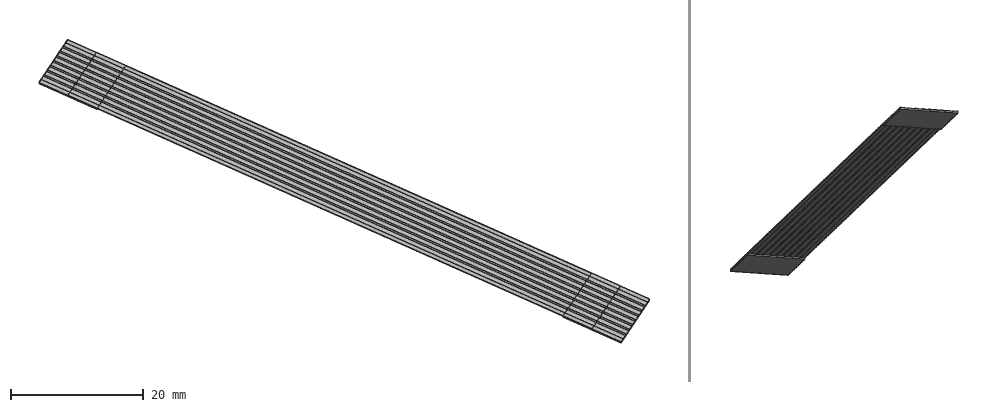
import cadquery as cq

cable_length = 100.0
cable_width = 9.0
total_thickness = 0.36

channel_count = 8
channel_pitch = 1.0
channel_width = 0.7
channel_depth = 0.05

film_thickness = 0.043
exposed_length = 5.0
covered_length = cable_length - 2 * exposed_length

stiffener_length = 10.0
stiffener_thickness = total_thickness - 2 * film_thickness - channel_depth

base_bottom = stiffener_thickness
channel_floor = base_bottom + film_thickness
cover_bottom = channel_floor + channel_depth


def slab(length, width, thickness, center_x, center_y, bottom):
    """Rectangular slab centred on a point in plan, with its underside at a given height."""
    return (
        cq.Workplane("XY", origin=(center_x, center_y, bottom))
        .box(length, width, thickness, centered=(True, True, False))
    )


def base_strip():
    """Full-length strip holding the base film and the layer the channels run in."""
    return slab(cable_length, cable_width, film_thickness + channel_depth, 0, 0, base_bottom)


def channel(index):
    """Cutter for one channel, running the full length of the cable."""
    center_y = (index - (channel_count - 1) / 2) * channel_pitch
    return slab(cable_length, channel_width, channel_depth, 0, center_y, channel_floor)


def cover_film():
    """Top film that closes the channels and leaves them open at both ends."""
    return slab(covered_length, cable_width, film_thickness, 0, 0, cover_bottom)


def stiffener(side):
    """Stiffening strip under one end; side is -1 or +1 along X."""
    center_x = side * (cable_length - stiffener_length) / 2
    return slab(stiffener_length, cable_width, stiffener_thickness, center_x, 0, 0)


result = base_strip()
for channel_index in range(channel_count):
    result = result.cut(channel(channel_index))
result = result.union(cover_film())
for end_side in (-1, 1):
    result = result.union(stiffener(end_side))